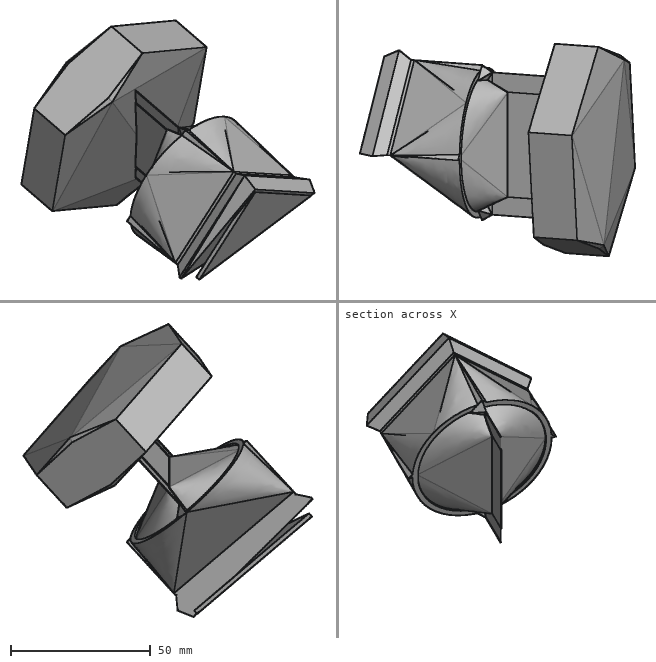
import cadquery as cq
import math

knob_thickness = 24.0
knob_rim_start = 3.9
knob_rim_end = knob_thickness - knob_rim_start
cone_start = 39.7
flare_start = 45.5
housing_start = 49.4
housing_end = 74.7
flange_flare_start = 75.9
flange_peak = 80.4
flange_low_corner = 81.3
overall_length = 86.0
plate_thickness = 1.6

knob_radius = 40.4
knob_corner_angle = 21.0
knob_ridge_radius = 33.5
flat_tip_inset = 1.55

sheet_thickness = 0.3
stem_half_height = 19.3
collar_half_height = 26.15
flare_side_width = 4.7

housing_radius = 28.55
housing_ring_radius = 26.9
seat_radius = 24.8
seat_depth = 0.9
flange_radius = 31.8
flange_end_radius = 29.1
plate_radius = 27.35


def polyhedron(faces):
    """Closed solid from planar faces given as lists of (x, y, z) corners."""
    panels = []
    for corners in faces:
        wire = cq.Wire.makePolygon([cq.Vector(*p) for p in corners], close=True)
        panels.append(cq.Face.makeFromWires(wire))
    return cq.Workplane(cq.Solid.makeSolid(cq.Shell.makeShell(panels)))


def ring(x, radius, count, start_angle):
    """Corners of a regular polygon around the X axis."""
    return ring_points(x, radius, [start_angle + 360.0 * i / count for i in range(count)])


def fan_solid(base, tips):
    """Convex solid whose base edges fan to the tip that lies farthest outward of each edge."""
    faces = [base]
    count = len(base)
    nearest = []
    for i in range(count):
        first, second = base[i], base[(i + 1) % count]
        outward_y, outward_z = first[1] + second[1], first[2] + second[2]
        tip = max(tips, key=lambda p: p[1] * outward_y + p[2] * outward_z)
        nearest.append(tip)
        faces.append([first, second, tip])
    for i in range(count):
        if nearest[i] != nearest[i - 1]:
            faces.append([base[i], nearest[i - 1], nearest[i]])
    if len(tips) > 2:
        faces.append(tips)
    return polyhedron(faces)


def ring_points(x, radius, degrees):
    """Points on a circle around the X axis at the given angles from +Y."""
    angles = [math.radians(d) for d in degrees]
    return [(x, radius * math.cos(a), radius * math.sin(a)) for a in angles]


def cone_sector(x, radius, start_angle, end_angle, tip):
    """Oblique cone from the circular segment between two angles to a tip."""
    middle_angle = (start_angle + end_angle) / 2
    start, middle, end = ring_points(x, radius, [start_angle, middle_angle, end_angle])
    arc = cq.Edge.makeThreePointArc(cq.Vector(*start), cq.Vector(*middle), cq.Vector(*end))
    chord = cq.Edge.makeLine(cq.Vector(*end), cq.Vector(*start))
    segment = cq.Face.makeFromWires(cq.Wire.assembleEdges([arc, chord]))
    return cq.Workplane(cq.occ_impl.shapes.loft(segment, cq.Vertex.makeVertex(*tip), ruled=True))


def tetrahedron(a, b, c, d):
    """Solid with four triangular faces."""
    return polyhedron([[a, b, c], [a, b, d], [b, c, d], [a, c, d]])


def upper_triangle(x, radius):
    """Half-square with its long side on the XY plane and its peak above the axis."""
    return [(x, radius, 0.0), (x, 0.0, radius), (x, -radius, 0.0)]


def triangle_frustum(near, far):
    """Solid between two triangles with flat quadrilateral sides."""
    faces = [near, far]
    for i in range(3):
        j = (i + 1) % 3
        faces.append([near[i], near[j], far[j], far[i]])
    return polyhedron(faces)


def sheet(x_start, x_end, y_start, half_height):
    """Thin upright sheet centred on the axis in Z."""
    size = (x_end - x_start, sheet_thickness, 2 * half_height)
    return cq.Workplane().box(*size, centered=(False, False, True)).translate((x_start, y_start, 0))


def make_knob():
    """Hexagonal slab with each end rising to a ridge across two opposite flats."""
    near = ring(knob_rim_start, knob_radius, 6, knob_corner_angle)
    far = ring(knob_rim_end, knob_radius, 6, knob_corner_angle)
    slab = (
        cq.Workplane("YZ", origin=(knob_rim_start, 0, 0))
        .polyline([(y, z) for _, y, z in near])
        .close()
        .extrude(knob_rim_end - knob_rim_start)
    )
    ridge_angle = knob_corner_angle + 90.0
    near_cap = fan_solid(near, ring(0.0, knob_ridge_radius, 2, ridge_angle))
    far_cap = fan_solid(far, ring(knob_thickness, knob_ridge_radius, 2, ridge_angle))
    knob = slab.union(near_cap).union(far_cap)

    apothem = knob_radius * math.cos(math.radians(30.0))
    ends = [
        (knob_rim_start, 0.0, flat_tip_inset),
        (knob_rim_end, knob_thickness, knob_thickness - flat_tip_inset),
    ]
    for rim_x, ridge_x, tip_x in ends:
        corners = ring(rim_x, knob_radius, 6, knob_corner_angle)
        ridge = ring(ridge_x, knob_ridge_radius, 2, ridge_angle)
        tips = ring(tip_x, apothem, 2, ridge_angle)
        for side in range(2):
            first = corners[1 + 3 * side]
            second = corners[(2 + 3 * side) % len(corners)]
            knob = knob.union(tetrahedron(first, second, tips[side], ridge[side]))
    return knob


def make_stem(knob):
    """Flat stem that opens from a straight edge into a round seat."""
    seat_x = housing_start + seat_depth
    top = (cone_start, 0.0, stem_half_height)
    bottom = (cone_start, 0.0, -stem_half_height)
    left, right = ring_points(seat_x, seat_radius, [0, 180])
    cone = (
        tetrahedron(left, right, top, bottom)
        .union(cone_sector(seat_x, seat_radius, 0, 180, top))
        .union(cone_sector(seat_x, seat_radius, 180, 360, bottom))
    )
    blade = sheet(knob_rim_end, housing_start, -sheet_thickness, stem_half_height)
    return cone.union(blade).cut(knob)


def make_collar(knob, stem):
    """Sheet behind the stem, with small flared wedges above and below the cone."""
    collar = sheet(knob_rim_end, flare_start, 0.0, collar_half_height)
    for side in (1, -1):
        root = [
            (flare_start, 0.0, side * stem_half_height),
            (flare_start, 0.0, side * collar_half_height),
            (flare_start, sheet_thickness, side * collar_half_height),
        ]
        rim = [
            (housing_start, 0.0, side * stem_half_height),
            (housing_start, 0.0, side * housing_radius),
            (housing_start, flare_side_width, side * (housing_radius - flare_side_width)),
        ]
        faces = [root, rim]
        for i in range(3):
            j = (i + 1) % 3
            faces.append([root[i], root[j], rim[j]])
            faces.append([root[i], rim[j], rim[i]])
        collar = collar.union(polyhedron(faces))
    return collar.cut(stem).cut(knob)


def make_housing():
    """Triangular prism merged with a fan from a round mouth, with a shallow seat in the mouth."""
    prism = triangle_frustum(
        upper_triangle(housing_start, housing_radius),
        upper_triangle(housing_end, housing_radius),
    )
    right, top, left = upper_triangle(housing_end, housing_radius)
    mouth = ring_points(housing_start, housing_ring_radius, [45, 135, 270])
    fan = (
        fan_solid(mouth, [right, top, left])
        .union(cone_sector(housing_start, housing_ring_radius, -90, 45, right))
        .union(cone_sector(housing_start, housing_ring_radius, 45, 135, top))
        .union(cone_sector(housing_start, housing_ring_radius, 135, 270, left))
    )
    seat = (
        cq.Workplane("YZ", origin=(housing_start, 0, 0))
        .circle(seat_radius)
        .extrude(seat_depth)
    )
    return prism.union(fan).cut(seat)


def make_plate():
    """Thin triangular plate closing the end."""
    return triangle_frustum(
        upper_triangle(overall_length - plate_thickness, plate_radius),
        upper_triangle(overall_length, plate_radius),
    )


def make_flange(plate):
    """Flared band with an oblique end that has one low corner, recessed for the plate."""
    root = upper_triangle(housing_end, housing_radius)
    flare = upper_triangle(flange_flare_start, housing_radius)
    peak = upper_triangle(flange_peak, flange_radius)
    band = triangle_frustum(root, flare)
    skirt = triangle_frustum(flare, peak)
    right, top, left = peak
    end_right = (overall_length, flange_end_radius, 0.0)
    end_top = (overall_length, 0.0, flange_end_radius)
    end_left = (flange_low_corner, -flange_radius, 0.0)
    tail = polyhedron([
        peak,
        [end_right, end_top, end_left],
        [right, top, end_top, end_right],
        [top, left, end_left],
        [top, end_left, end_top],
        [left, right, end_right, end_left],
    ])
    return band.union(skirt).union(tail).cut(plate)


knob = make_knob()
stem = make_stem(knob)
collar = make_collar(knob, stem)
housing = make_housing()
plate = make_plate()
flange = make_flange(plate)

result = cq.Compound.makeCompound([
    knob.solids().val(),
    stem.solids().val(),
    collar.solids().val(),
    housing.solids().val(),
    flange.solids().val(),
    plate.solids().val(),
])